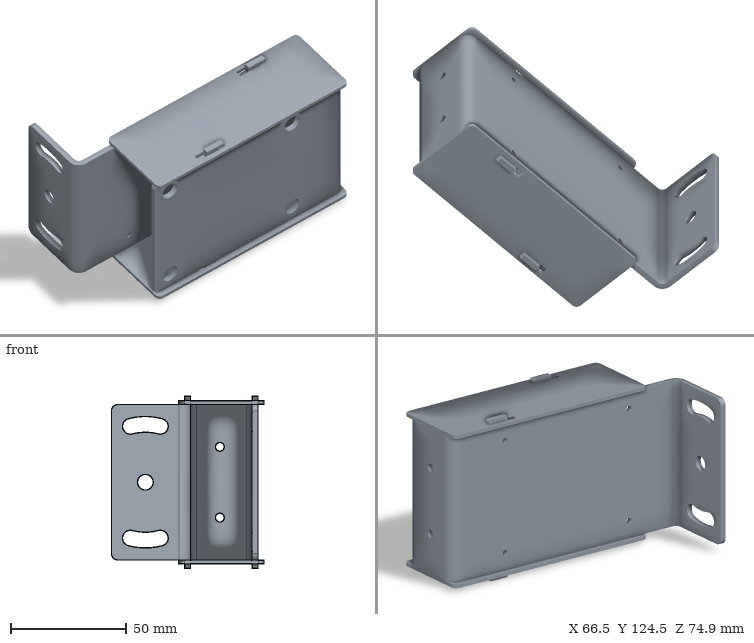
import cadquery as cq
import math

sheet = 2.6
bend_inner = 2.5
bend_outer = bend_inner + sheet
depth = 124.5
height = 67.7
channel_width = 32.0
corner_radius = 3.0

plate_thickness = 1.6
plate_width = 37.2
plate_length = 104.1
plate_radius = 2.5
plate_overhang = (plate_width - channel_width) / 2

overall_width = 66.5
plate_left = overall_width - plate_width
left_outer = plate_left + plate_overhang
left_inner = left_outer + sheet
right_outer = left_outer + channel_width
right_inner = right_outer - sheet
right_leg_front = depth - plate_length

flange_center_x = 14.8
pivot_diameter = 6.7
arc_slot_width = 6.7
arc_slot_radius = 25.1
arc_slot_half_angle = 15.0

back_hole_diameter = 3.7
back_hole_x = 47.2
back_hole_spacing = 30.8
leg_hole_diameter = 2.7
access_hole_diameter = 8.0
leg_hole_y = (28.6, 95.5)
leg_hole_spacing = 52.0

tab_rise = 2.0
tab_length = 9.7
tab_overhang = 3.7
tab_chamfer = 0.7
slot_length = 10.7
slot_width = 3.1
left_tab_tip = 104.0
right_tab_tip = 58.6


def make_bracket():
    """Constant-thickness strip bent in XY and extruded along Z."""
    flange_bend_x = left_inner - bend_outer
    back_bend_y = depth - bend_outer
    back_left_x = left_outer + bend_outer
    back_right_x = right_outer - bend_outer

    def bend_mid(x, y, radius, x_side, y_side):
        """Middle of a bend arc centred at (x, y), lying toward the given X and Y signs."""
        reach = radius * math.sqrt(0.5)
        return (x + x_side * reach, y + y_side * reach)

    profile = (
        cq.Workplane("XY", origin=(0, 0, -height / 2))
        .moveTo(0, 0)
        .lineTo(flange_bend_x, 0)
        .threePointArc(bend_mid(flange_bend_x, bend_outer, bend_outer, 1, -1), (left_inner, bend_outer))
        .lineTo(left_inner, back_bend_y)
        .threePointArc(bend_mid(back_left_x, back_bend_y, bend_inner, -1, 1), (back_left_x, depth - sheet))
        .lineTo(back_right_x, depth - sheet)
        .threePointArc(bend_mid(back_right_x, back_bend_y, bend_inner, 1, 1), (right_inner, back_bend_y))
        .lineTo(right_inner, right_leg_front)
        .lineTo(right_outer, right_leg_front)
        .lineTo(right_outer, back_bend_y)
        .threePointArc(bend_mid(back_right_x, back_bend_y, bend_outer, 1, 1), (back_right_x, depth))
        .lineTo(back_left_x, depth)
        .threePointArc(bend_mid(back_left_x, back_bend_y, bend_outer, -1, 1), (left_outer, back_bend_y))
        .lineTo(left_outer, bend_outer)
        .threePointArc(bend_mid(flange_bend_x, bend_outer, bend_inner, 1, -1), (flange_bend_x, sheet))
        .lineTo(0, sheet)
        .close()
    )
    bracket = profile.extrude(height)
    bracket = bracket.faces("<X").edges("|Y").fillet(corner_radius)
    leg_end = cq.selectors.NearestToPointSelector((right_outer - sheet / 2, right_leg_front, 0))
    return bracket.faces(leg_end).edges("|X").fillet(corner_radius)


def hole_along_y(x, y, z, diameter):
    """Hole cutter along +Y through one sheet whose near face is at y."""
    return cq.Workplane("XZ", origin=(x, y, z)).circle(diameter / 2).extrude(-sheet)


def hole_along_x(x, y, z, diameter):
    """Hole cutter along +X through one sheet whose near face is at x."""
    return cq.Workplane("YZ", origin=(x, y, z)).circle(diameter / 2).extrude(sheet)


def arc_slot(side):
    """Curved slot around the pivot hole; side is +1 above it, -1 below it."""
    angle = math.radians(arc_slot_half_angle)

    def on_arc(radius, turn):
        return (radius * math.sin(turn), side * radius * math.cos(turn))

    inner = arc_slot_radius - arc_slot_width / 2
    outer = arc_slot_radius + arc_slot_width / 2
    end_turn = angle + math.asin(arc_slot_width / 2 / arc_slot_radius)
    return (
        cq.Workplane("XZ", origin=(flange_center_x, 0, 0))
        .moveTo(*on_arc(outer, -angle))
        .threePointArc(on_arc(outer, 0), on_arc(outer, angle))
        .threePointArc(on_arc(arc_slot_radius, end_turn), on_arc(inner, angle))
        .threePointArc(on_arc(inner, 0), on_arc(inner, -angle))
        .threePointArc(on_arc(arc_slot_radius, -end_turn), on_arc(outer, -angle))
        .close()
        .extrude(-sheet)
    )


def cut_holes(bracket):
    """Cut the flange, back wall and leg holes, mirrored about Z = 0."""
    bracket = bracket.cut(hole_along_y(flange_center_x, 0, 0, pivot_diameter))
    for side in (1, -1):
        bracket = bracket.cut(arc_slot(side))
        back_z = side * back_hole_spacing / 2
        bracket = bracket.cut(hole_along_y(back_hole_x, depth - sheet, back_z, back_hole_diameter))
        leg_z = side * leg_hole_spacing / 2
        for y in leg_hole_y:
            bracket = bracket.cut(hole_along_x(left_outer, y, leg_z, leg_hole_diameter))
            bracket = bracket.cut(hole_along_x(right_inner, y, leg_z, access_hole_diameter))
    return bracket


def make_plate():
    """Upper cover plate with one slot over each leg."""
    plate = (
        cq.Workplane("XY", origin=(plate_left + plate_width / 2, depth - plate_length / 2, height / 2))
        .rect(plate_width, plate_length)
        .extrude(plate_thickness)
        .edges("|Z")
        .fillet(plate_radius)
    )
    for x, tip in ((left_outer, left_tab_tip), (right_inner, right_tab_tip)):
        slot_end = tip - tab_overhang - slot_length
        slot_left = x - (slot_width - sheet) / 2
        slot = cq.Workplane("XY").box(slot_width, slot_length, plate_thickness, centered=False)
        plate = plate.cut(slot.translate((slot_left, slot_end, height / 2)))
    return plate


def make_tab(x, tip):
    """Upper hook: a neck through the slot and a head resting on the plate."""
    plate_top = height / 2 + plate_thickness
    tab_top = plate_top + tab_rise
    neck = tip - tab_overhang
    end = tip - tab_length
    return (
        cq.Workplane("YZ", origin=(x, 0, 0))
        .moveTo(end, height / 2)
        .lineTo(end, tab_top)
        .lineTo(tip - tab_chamfer, tab_top)
        .lineTo(tip, tab_top - tab_chamfer)
        .lineTo(tip, plate_top)
        .lineTo(neck, plate_top)
        .lineTo(neck, height / 2)
        .close()
        .extrude(sheet)
    )


cover = make_plate()
cover = cover.union(make_tab(left_outer, left_tab_tip))
cover = cover.union(make_tab(right_inner, right_tab_tip))

result = cut_holes(make_bracket()).union(cover).union(cover.mirror("XY"))